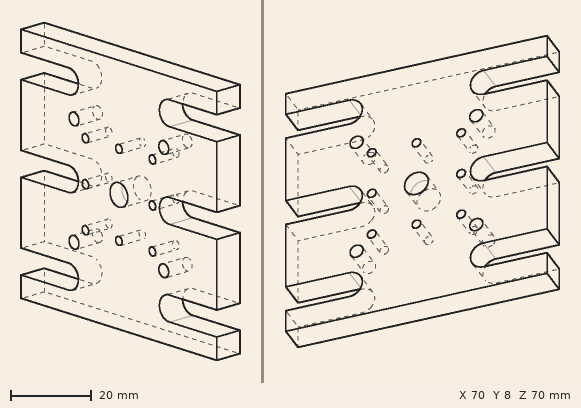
import cadquery as cq

side = 70.0
thickness = 8.0

slot_width = 7.0
slot_pitch = 25.4
slot_tip_offset = 14.5

centre_hole_diameter = 6.4
small_hole_diameter = 2.3
small_hole_pitch = 12.0
corner_hole_diameter = 3.5
corner_hole_offset = 16.0

slot_length = side / 2 - slot_tip_offset + slot_width
slot_centre_x = slot_tip_offset + slot_length / 2

slot_centres = [
    (direction * slot_centre_x, row * slot_pitch)
    for direction in (-1, 1)
    for row in (-1, 0, 1)
]

small_hole_centres = [
    (column * small_hole_pitch, row * small_hole_pitch)
    for column in (-1, 0, 1)
    for row in (-1, 0, 1)
    if (column, row) != (0, 0)
]


def through_holes(plate, centres, diameter):
    """Cut round holes through the plate at the given XZ positions."""
    cutters = (
        cq.Workplane("XZ")
        .pushPoints(centres)
        .circle(diameter / 2)
        .extrude(thickness, both=True)
    )
    return plate.cut(cutters)


plate = cq.Workplane("XY").box(side, thickness, side)

slots = (
    cq.Workplane("XZ")
    .pushPoints(slot_centres)
    .slot2D(slot_length, slot_width)
    .extrude(thickness, both=True)
)
plate = plate.cut(slots)

plate = through_holes(plate, [(0, 0)], centre_hole_diameter)
plate = through_holes(plate, small_hole_centres, small_hole_diameter)

corner_hole_centres = [
    (x_sign * corner_hole_offset, z_sign * corner_hole_offset)
    for x_sign in (-1, 1)
    for z_sign in (-1, 1)
]
plate = through_holes(plate, corner_hole_centres, corner_hole_diameter)

result = plate